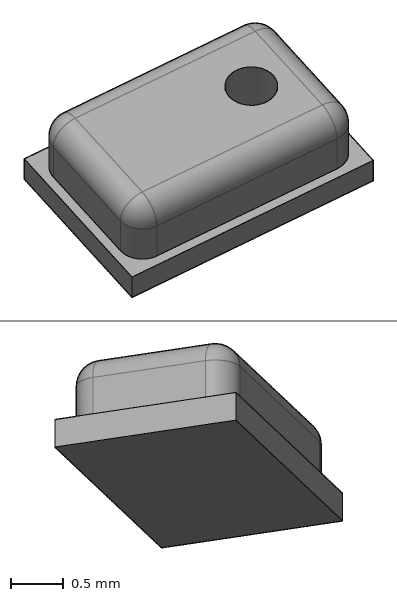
import cadquery as cq

base_width = 1.85
base_length = 2.75
base_thickness = 0.283

total_height = 0.95
lid_margin = 0.1
lid_width = base_width - 2 * lid_margin
lid_length = base_length - 2 * lid_margin
lid_height = total_height - base_thickness
lid_edge_radius = 0.25

port_diameter = 0.5
port_offset = 0.6


def make_base():
    """Flat rectangular plate with its underside at Z = 0."""
    return cq.Workplane("XY").box(base_width, base_length, base_thickness, centered=(True, True, False))


def make_lid():
    """Block with rounded upright and top edges, pierced by the port down to the plate."""
    block = (
        cq.Workplane("XY")
        .workplane(offset=base_thickness)
        .box(lid_width, lid_length, lid_height, centered=(True, True, False))
    )
    rounded = block.edges("|Z or >Z").fillet(lid_edge_radius)
    port = (
        cq.Workplane("XY")
        .workplane(offset=base_thickness)
        .center(0, port_offset)
        .circle(port_diameter / 2)
        .extrude(lid_height)
    )
    return rounded.cut(port)


base = make_base()
lid = make_lid()

result = cq.Compound.makeCompound([base.val(), *lid.solids().vals()])